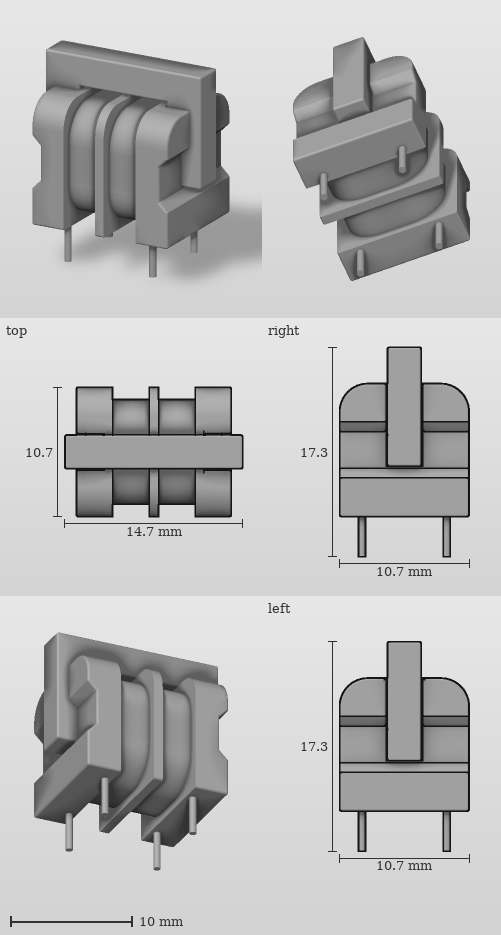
import cadquery as cq

edge_radius = 0.2
tolerance = 0.01

bobbin_length = 12.8
bobbin_width = 10.7
bobbin_height = 11.0
flange_corner_radius = 2.35
end_flange_thickness = 3.0
middle_flange_thickness = 0.8

recess_depth = 0.8
recess_bottom = 3.2
recess_top = 7.83

winding_width = 8.66
winding_height = 9.6
winding_center_z = bobbin_height / 2
winding_corner_radius = 3.0

core_length = 14.7
core_thickness = 2.8
core_top = 14.0
core_bottom = 4.15
core_bar = 2.7
core_window_length = 8.2

slot_clearance = 0.1
slot_half_width = core_thickness / 2 + slot_clearance

pin_diameter = 0.6
pin_length = 3.3
pin_embed = 1.0
pin_spacing_x = 8.0
pin_spacing_y = 7.0

outer_x = bobbin_length / 2
inner_x = outer_x - end_flange_thickness
half_width = bobbin_width / 2


def flange_blank(start_x, thickness):
    """Flange plate with rounded top corners, extruded along +X."""
    return (
        cq.Workplane("YZ", origin=(start_x, 0, bobbin_height / 2))
        .rect(bobbin_width, bobbin_height)
        .extrude(thickness)
        .edges("|X and >Z")
        .fillet(flange_corner_radius)
    )


def recess_cutter():
    """Trapezoidal groove running along Y in the outer face of the +X flange."""
    recess_x = outer_x - recess_depth
    return (
        cq.Workplane("XZ")
        .moveTo(outer_x, recess_bottom)
        .lineTo(recess_x, recess_bottom + recess_depth)
        .lineTo(recess_x, recess_top - recess_depth)
        .lineTo(outer_x, recess_top)
        .close()
        .extrude(half_width, both=True)
    )


def slot_cutter():
    """Slot for the core leg, open at the top and at the outer face."""
    slot_start = core_window_length / 2
    return cq.Workplane("XY").box(
        outer_x - slot_start,
        2 * slot_half_width,
        bobbin_height - core_bottom,
        centered=(False, True, False),
    ).translate((slot_start, 0, core_bottom))


def is_rounded(edge, round_slot_top):
    """Tell whether an edge of the +X end flange is rounded."""
    point = edge.Center()
    box = edge.BoundingBox()
    if point.x < inner_x + tolerance:
        return False
    runs_along_y = box.xlen < tolerance and box.zlen < tolerance
    on_side = abs(abs(point.y) - half_width) < tolerance
    on_outer_face = abs(point.x - outer_x) < tolerance
    on_base = abs(point.z) < tolerance
    on_slot_wall = abs(abs(point.y) - slot_half_width) < tolerance and box.ylen < tolerance
    if on_base:
        return True
    if on_side:
        is_seam = box.zlen < tolerance
        return not is_seam
    if on_outer_face:
        is_groove_rim = runs_along_y and recess_bottom - tolerance < point.z < recess_top + tolerance
        return not is_groove_rim
    if on_slot_wall:
        on_upper_flank = box.xlen > tolerance and recess_top - recess_depth < point.z < recess_top
        on_top = abs(point.z - bobbin_height) < tolerance
        return on_upper_flank or (on_top and round_slot_top)
    return False


def end_flange(round_slot_top):
    """End flange on the +X side."""
    body = flange_blank(inner_x, end_flange_thickness).cut(recess_cutter()).cut(slot_cutter())
    rounded = [edge for edge in body.edges().vals() if is_rounded(edge, round_slot_top)]
    return body.newObject(rounded).fillet(edge_radius)


def middle_flange():
    """Thin divider between the two windings, with rounded lower corners."""
    blank = flange_blank(-middle_flange_thickness / 2, middle_flange_thickness)
    return blank.edges("|X and <Z").fillet(edge_radius)


def winding():
    """Rounded winding filling the space between the end flanges."""
    return (
        cq.Workplane("YZ", origin=(-inner_x, 0, winding_center_z))
        .rect(winding_width, winding_height)
        .extrude(2 * inner_x)
        .edges("|X")
        .fillet(winding_corner_radius)
    )


def core():
    """Closed rectangular core with all outer and window edges rounded."""
    core_height = core_top - core_bottom
    core_center = (0, 0, (core_top + core_bottom) / 2)
    block = cq.Workplane("XY").box(core_length, core_thickness, core_height)
    window = cq.Workplane("XY").box(core_window_length, core_thickness, core_height - 2 * core_bar)
    block = block.edges().fillet(edge_radius).cut(window)
    reach = core_bar / 2
    window_region = cq.selectors.BoxSelector(
        (-core_length / 2 + reach, -core_thickness, -core_height / 2 + reach),
        (core_length / 2 - reach, core_thickness, core_height / 2 - reach),
    )
    window_rim = block.edges(window_region).edges("not |Y")
    return window_rim.fillet(edge_radius).translate(core_center)


def pins():
    """Four round pins below the corners of the bobbin."""
    return (
        cq.Workplane("XY", origin=(0, 0, -pin_length))
        .rect(pin_spacing_x, pin_spacing_y, forConstruction=True)
        .vertices()
        .circle(pin_diameter / 2)
        .extrude(pin_length + pin_embed)
    )


right_flange = end_flange(round_slot_top=True)
left_flange = end_flange(round_slot_top=False).mirror("YZ")

result = (
    winding()
    .union(middle_flange())
    .union(right_flange)
    .union(left_flange)
    .union(core())
    .union(pins())
)